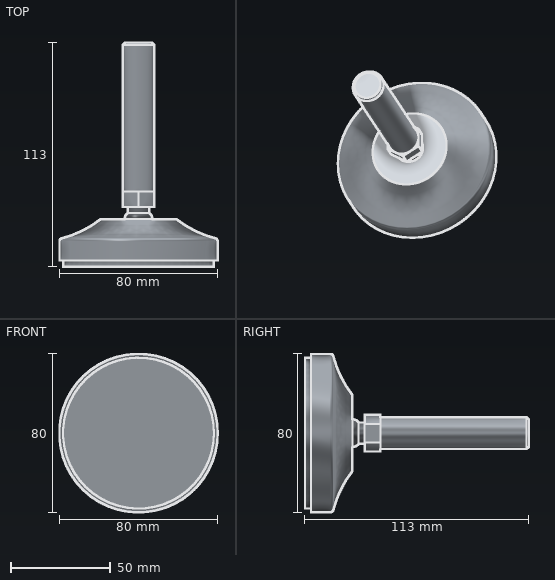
import cadquery as cq
import math


pad_diameter = 76.0
pad_height = 3.0
foot_diameter = 80.0
rim_top = 12.7
shoulder_round = 1.8
shoulder_angle = 71
foot_height = 24.0
crown_radius = 19.2
flank_hollow = 1.1

ball_radius = 7.0
ball_bulge = 0.5
neck_diameter = 11.0
neck_start = 27.0

hex_start = 30.1
hex_end = 38.0
stud_diameter = 16.0
hex_across_flats = stud_diameter
stud_end = 113.0
stud_chamfer = 1.2


def cylinder(diameter, start, end):
    """Round bar along Y between two heights."""
    plane = cq.Workplane("XZ", origin=(0, start, 0))
    return plane.circle(diameter / 2).extrude(start - end)


def revolve_about_axis(outline):
    """Full turn of a closed XY outline about the Y axis."""
    return outline.close().revolve(360, (0, 0, 0), (0, 1, 0))


def arc_middle(start, end, offset):
    """Middle of an arc, offset from its chord to the left of the travel direction."""
    run = end[0] - start[0]
    rise = end[1] - start[1]
    chord = math.hypot(run, rise)
    return (
        (start[0] + end[0]) / 2 - offset * rise / chord,
        (start[1] + end[1]) / 2 + offset * run / chord,
    )


def shoulder_point(degrees):
    """Point on the rounded rim edge, measured from the end of the rim wall."""
    angle = math.radians(degrees)
    center_x = foot_diameter / 2 - shoulder_round
    return (
        center_x + shoulder_round * math.cos(angle),
        rim_top + shoulder_round * math.sin(angle),
    )


def make_foot():
    """Revolved pad, rim, rounded shoulder and hollow flank."""
    rim_radius = foot_diameter / 2
    shoulder_end = shoulder_point(shoulder_angle)
    crown_edge = (crown_radius, foot_height)
    outline = (
        cq.Workplane("XY")
        .lineTo(pad_diameter / 2, 0)
        .lineTo(pad_diameter / 2, pad_height)
        .lineTo(rim_radius, pad_height)
        .lineTo(rim_radius, rim_top)
        .threePointArc(shoulder_point(shoulder_angle / 2), shoulder_end)
        .threePointArc(arc_middle(shoulder_end, crown_edge, flank_hollow), crown_edge)
        .lineTo(0, foot_height)
    )
    return revolve_about_axis(outline)


def make_ball():
    """Rounded part of the joint that shows between the foot and the neck."""
    ball_edge = (ball_radius, foot_height)
    neck_edge = (neck_diameter / 2, neck_start)
    outline = (
        cq.Workplane("XY")
        .moveTo(0, foot_height)
        .lineTo(*ball_edge)
        .threePointArc(arc_middle(ball_edge, neck_edge, -ball_bulge), neck_edge)
        .lineTo(0, neck_start)
    )
    return revolve_about_axis(outline)


def make_hexagon():
    """Hexagon with two flats facing +X and -X."""
    across_corners = hex_across_flats / math.cos(math.pi / 6)
    plane = cq.Workplane("XZ", origin=(0, hex_start, 0)).transformed(rotate=(0, 0, 90))
    return plane.polygon(6, across_corners).extrude(hex_start - hex_end)


neck = cylinder(neck_diameter, neck_start, hex_start)
stud = cylinder(stud_diameter, hex_end, stud_end).faces(">Y").chamfer(stud_chamfer)

result = make_foot().union(make_ball()).union(neck).union(make_hexagon()).union(stud)